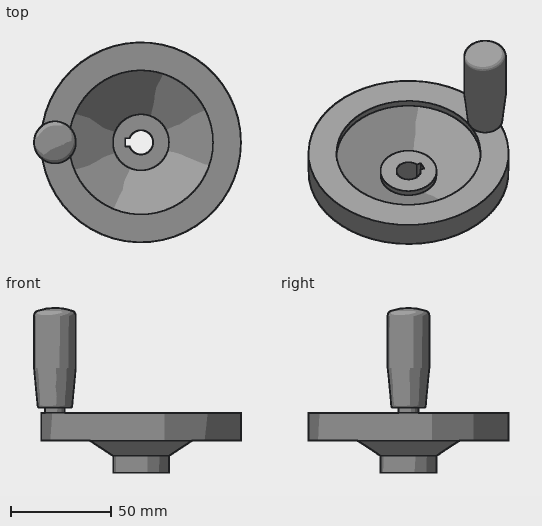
import cadquery as cq
import math

WHEEL_RADIUS = 50.0
WHEEL_TOP = 30.0
RIM_BOTTOM = 16.2
RECESS_RADIUS = 36.0
RECESS_WALL_DEPTH = 3.5
DISH_OUTER_RADIUS = 25.7

HUB_RADIUS = 14.0
HUB_TOP = 17.0
HUB_DISH_TOP = 14.0
HUB_DISH_BOTTOM = 8.5
BORE_DIAMETER = 12.0
KEYWAY_WIDTH = 4.0
KEYWAY_DEPTH = 1.8

HANDLE_OFFSET = 43.0
HANDLE_RADIUS = 10.5
HANDLE_BASE_RADIUS = 8.6
HANDLE_LENGTH = 50.0
HANDLE_TAPER_LENGTH = 20.0
HANDLE_BASE_FILLET = 1.2
HANDLE_GAP = 2.5
SHANK_RADIUS = 5.0
SHANK_EMBED = 1.0
CROWN_RADIUS = 8.4
CROWN_HEIGHT = 1.4
SHOULDER_HEIGHT = 2.7


def make_wheel():
    """Dished wheel with its hub, revolved about Z."""
    profile = (
        cq.Workplane("XZ")
        .lineTo(HUB_RADIUS, 0)
        .lineTo(HUB_RADIUS, HUB_DISH_BOTTOM)
        .lineTo(DISH_OUTER_RADIUS, RIM_BOTTOM)
        .lineTo(WHEEL_RADIUS, RIM_BOTTOM)
        .lineTo(WHEEL_RADIUS, WHEEL_TOP)
        .lineTo(RECESS_RADIUS, WHEEL_TOP)
        .lineTo(RECESS_RADIUS, WHEEL_TOP - RECESS_WALL_DEPTH)
        .lineTo(HUB_RADIUS, HUB_DISH_TOP)
        .lineTo(HUB_RADIUS, HUB_TOP)
        .lineTo(0, HUB_TOP)
        .close()
    )
    return profile.revolve(360, (0, 0, 0), (0, 1, 0))


def make_keyed_bore():
    """Through bore with a keyway on its -X side."""
    bore_radius = BORE_DIAMETER / 2
    key_reach = bore_radius + KEYWAY_DEPTH
    bore = cq.Workplane("XY").circle(bore_radius).extrude(HUB_TOP)
    keyway = (
        cq.Workplane("XY")
        .center(-key_reach / 2, 0)
        .rect(key_reach, KEYWAY_WIDTH)
        .extrude(HUB_TOP)
    )
    return bore.union(keyway)


def make_handle():
    """Tapered grip with a domed end, standing on a short shank."""
    base = WHEEL_TOP + HANDLE_GAP
    top = base + HANDLE_LENGTH
    crown_edge = top - CROWN_HEIGHT
    shoulder = crown_edge - SHOULDER_HEIGHT
    crown_sphere_radius = (CROWN_RADIUS**2 + CROWN_HEIGHT**2) / (2 * CROWN_HEIGHT)
    crown_half_angle = math.asin(CROWN_RADIUS / crown_sphere_radius) / 2
    crown_mid = (
        crown_sphere_radius * math.sin(crown_half_angle),
        top - crown_sphere_radius * (1 - math.cos(crown_half_angle)),
    )
    grip = (
        cq.Workplane("XZ")
        .moveTo(0, base)
        .lineTo(HANDLE_BASE_RADIUS, base)
        .lineTo(HANDLE_RADIUS, base + HANDLE_TAPER_LENGTH)
        .lineTo(HANDLE_RADIUS, shoulder)
        .tangentArcPoint((CROWN_RADIUS, crown_edge), relative=False)
        .threePointArc(crown_mid, (0, top))
        .close()
        .revolve(360, (0, 0, 0), (0, 1, 0))
        .faces("<Z")
        .edges()
        .fillet(HANDLE_BASE_FILLET)
    )
    shank = (
        cq.Workplane("XY")
        .workplane(offset=WHEEL_TOP - SHANK_EMBED)
        .circle(SHANK_RADIUS)
        .extrude(HANDLE_GAP + 2 * SHANK_EMBED)
    )
    return grip.union(shank).translate((-HANDLE_OFFSET, 0, 0))


result = make_wheel().cut(make_keyed_bore()).union(make_handle())